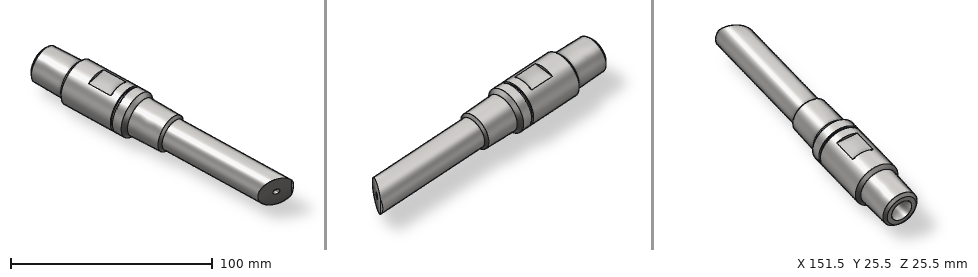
import cadquery as cq
import math

length = 151.5
body_radius = 25.5 / 2
tube_radius = 17.3 / 2
groove_radius = 23.5 / 2
neck_root_radius = 21.4 / 2
neck_tip_radius = 20.5 / 2

front_chamfer_end = 1.5
front_neck_end = 20.3
body_start = 22.1
groove_start = 53.0
groove_width = 1.4
body_end = 59.8
rear_neck_start = 62.3
rear_neck_end = 81.0
rear_chamfer_length = 1.4

flat_start = 34.2
flat_length = 14.0
flat_height = 22.3 / 2

bore_diameter = 12.0
bore_depth = 30.3
pin_hole_diameter = 3.2
pin_hole_depth = 7.5

slant_angle = 30.0
land_start_y = 7.0


def revolved_blank():
    """Stepped body with tapered necks and a straight tube."""
    groove_end = groove_start + groove_width
    profile = [
        (0, 0),
        (0, tube_radius),
        (front_chamfer_end, neck_tip_radius),
        (front_neck_end, neck_root_radius),
        (body_start, body_radius),
        (groove_start, body_radius),
        (groove_start, groove_radius),
        (groove_end, groove_radius),
        (groove_end, body_radius),
        (body_end, body_radius),
        (rear_neck_start, neck_root_radius),
        (rear_neck_end, neck_tip_radius),
        (rear_neck_end + rear_chamfer_length, tube_radius),
        (length, tube_radius),
        (length, 0),
    ]
    return cq.Workplane("XY").polyline(profile).close().revolve(360, (0, 0, 0), (1, 0, 0))


def flat_cutter(side):
    """Block that mills one flat; side is +1 for the top and -1 for the bottom."""
    depth = body_radius - flat_height
    return cq.Workplane("XY").box(flat_length, 2 * body_radius, depth).translate(
        (flat_start + flat_length / 2, 0, side * (flat_height + depth / 2))
    )


def slant_x(y):
    """X position of the slanted face at a given Y."""
    return length - (land_start_y - y) * math.tan(math.radians(slant_angle))


def slant_cutter():
    """Wedge that removes the tube beyond the slanted face."""
    outline = [
        (length, land_start_y),
        (slant_x(-body_radius), -body_radius),
        (length, -body_radius),
    ]
    return cq.Workplane("XY").polyline(outline).close().extrude(body_radius, both=True)


def axial_hole(start_x, end_x, diameter):
    """Cylinder on the X axis between two stations."""
    return cq.Workplane("YZ", origin=(start_x, 0, 0)).circle(diameter / 2).extrude(end_x - start_x)


result = revolved_blank()
for side in (1, -1):
    result = result.cut(flat_cutter(side))
result = result.cut(slant_cutter())
result = result.cut(axial_hole(0, bore_depth, bore_diameter))
result = result.cut(axial_hole(slant_x(0) - pin_hole_depth, length, pin_hole_diameter))